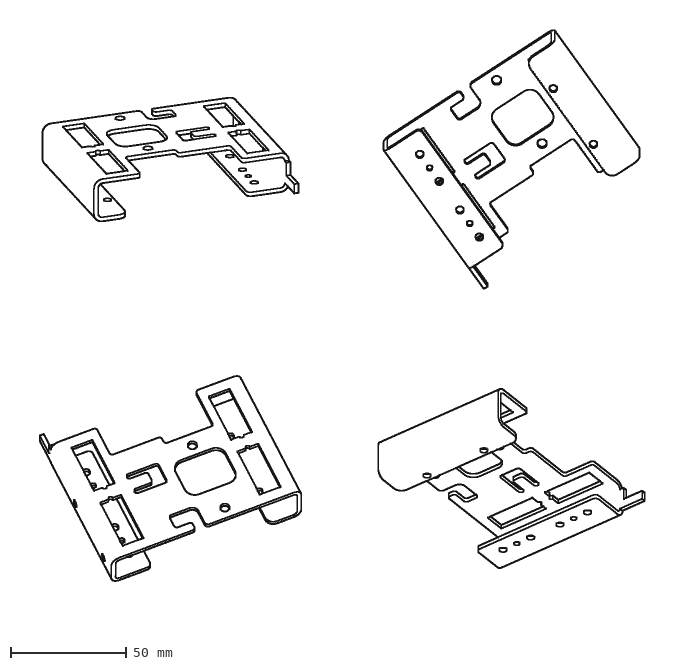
import cadquery as cq


sheet = 2.0
bend_radius = 2 * sheet
body_length = 65.0
body_width = 90.0
height = 20.0
rear_foot_z = 1.6
front_foot_width = 15.6
rear_foot_width = 19.1
front_foot_corner = 4.0
rear_foot_corner = 2.0
corner = 1.3

window_size = (24.2, 9.9)
window_inset = 17.1
window_centers_x = (window_inset, body_length - window_inset)
front_window_y = 12.5
rear_window_y = body_width - front_window_y
window_notch_radius = 1.0
foot_hole_diameter = 3.3
small_hole_diameter = 2.5
rear_hole_spacing = 7.5

plate_hole_diameter = 4.05
plate_hole_centers = [(5.0, 34.0), (40.0, 34.0)]
center_opening_x = (15.8, 35.0)
center_opening_y = (22.4, 46.2)
center_opening_corner = 4.8

tongue_slot_x = (27.1, 37.7)
tongue_slot_y = (51.4, 66.6)
tongue_width = 5.7
tongue_tip_y = 57.3

hook_x = (4.05, 11.0)
hook_top_y = 58.0
finger_tip_y = 50.1
hook_bottom_y = 45.2
hook_inner_corner = 3.0
hook_lower_corner = 1.7

cutout_front_y = 21.5
cutout_y = (cutout_front_y, body_width - cutout_front_y)
cutout_step_y = 44.6
cutout_upper_x = 49.5
cutout_lower_x = 45.5

wall_hole_diameter = foot_hole_diameter
wall_hole_z = height / 2
wall_hole_first_x = 8.6
wall_hole_spacing = 30.2

tab_neck_length = 2.0
tab_end_x = 77.0
tab_bottom_z = rear_foot_z + bend_radius
tab_top_z = 10.0


def box(x, y, z):
    """Box between the given (low, high) limits on each axis."""
    return (
        cq.Workplane("XY")
        .box(x[1] - x[0], y[1] - y[0], z[1] - z[0], centered=False)
        .translate((x[0], y[0], z[0]))
    )


margin = sheet
plate_z = (height - 2 * sheet, height + margin)
feet_z = (-margin, height / 2)


def plate_block(x, y):
    return box(x, y, plate_z)


def holes(centers, diameter, z):
    return (
        cq.Workplane("XY", origin=(0, 0, z[0]))
        .pushPoints(centers)
        .circle(diameter / 2)
        .extrude(z[1] - z[0])
    )


def folded_side(foot_z, foot_width, foot_corner):
    """Half of the body whose wall stands at Y = 0, up to the middle of the plate."""
    half = body_width / 2
    outer = box((0, body_length), (0, body_width), (foot_z, height)).edges("|X").fillet(bend_radius)
    inner = (
        box((0, body_length), (sheet, body_width - sheet), (foot_z + sheet, height - sheet))
        .edges("|X")
        .fillet(bend_radius - sheet)
    )
    below_plate = (foot_z - margin, height - 2 * sheet)
    gap = box((0, body_length), (foot_width, body_width), below_plate)
    side = outer.cut(inner).cut(gap)
    side = side.intersect(box((0, body_length), (0, half), (foot_z, height)))
    for x in (0, body_length):
        middle_of_edge = (x, foot_width, foot_z + sheet / 2)
        side = side.edges(cq.selectors.NearestToPointSelector(middle_of_edge)).fillet(foot_corner)
    return side


def make_body():
    front = folded_side(0, front_foot_width, front_foot_corner)
    rear = folded_side(rear_foot_z, rear_foot_width, rear_foot_corner)
    rear = rear.mirror("XZ").translate((0, body_width, 0))
    return front.union(rear).clean()


def make_tab():
    wall_y = (body_width - sheet, body_width)
    neck_end = body_length + tab_neck_length
    neck = box((body_length - sheet, neck_end), wall_y, (tab_bottom_z, height - bend_radius))
    arm = box((body_length, tab_end_x), wall_y, (tab_bottom_z, tab_top_z))
    return neck.union(arm)


def window_cutter(center_x, center_y):
    """Rectangular window with a round notch on the side facing the plate's middle."""
    half_x = window_size[0] / 2
    half_y = window_size[1] / 2
    window = plate_block(
        (center_x - half_x, center_x + half_x), (center_y - half_y, center_y + half_y)
    )
    toward_middle = 1 if center_x < body_length / 2 else -1
    notch_center = (center_x + toward_middle * half_x, center_y)
    return window.union(holes([notch_center], 2 * window_notch_radius, plate_z))


def foot_hole_cutter(center_x):
    large = [
        (center_x, front_window_y),
        (center_x - rear_hole_spacing, rear_window_y),
        (center_x + rear_hole_spacing, rear_window_y),
    ]
    small = [(center_x, rear_window_y)]
    return holes(large, foot_hole_diameter, feet_z).union(holes(small, small_hole_diameter, feet_z))


def wall_hole_cutter(center_x):
    drill = cq.Workplane("XZ", origin=(center_x, body_width + margin, wall_hole_z))
    return drill.circle(wall_hole_diameter / 2).extrude(sheet + 2 * margin)


def tongue_slot_cutter():
    """U-shaped slot whose two legs end in full rounds at +Y."""
    left, right = tongue_slot_x
    slot_width = (right - left - tongue_width) / 2
    legs_end_y = tongue_slot_y[1] - slot_width / 2
    tongue = plate_block((left + slot_width, right - slot_width), (tongue_tip_y, legs_end_y))
    tongue = tongue.edges("|Z and <Y").fillet(corner)
    slot = plate_block(tongue_slot_x, (tongue_slot_y[0], legs_end_y))
    slot = slot.edges("|Z and <Y").fillet(corner).cut(tongue)
    leg_ends = [(left + slot_width / 2, legs_end_y), (right - slot_width / 2, legs_end_y)]
    return slot.union(holes(leg_ends, slot_width, plate_z))


def outline_cutter(points, radii):
    """Prism over the points, with each listed corner rounded to its radius."""
    prism = cq.Workplane("XY", origin=(0, 0, plate_z[0])).polyline(points).close()
    prism = prism.extrude(plate_z[1] - plate_z[0])
    for (x, y), radius in radii:
        middle_of_edge = (x, y, sum(plate_z) / 2)
        prism = prism.edges(cq.selectors.NearestToPointSelector(middle_of_edge)).fillet(radius)
    return prism


def hook_cutter():
    left, right = hook_x
    outside = -margin
    points = [
        (outside, hook_bottom_y - margin),
        (0, hook_bottom_y - margin),
        (0, hook_bottom_y),
        (right, hook_bottom_y),
        (right, hook_top_y),
        (left, hook_top_y),
        (left, finger_tip_y),
        (0, finger_tip_y),
        (0, finger_tip_y + margin),
        (outside, finger_tip_y + margin),
    ]
    radii = [
        ((0, hook_bottom_y), hook_lower_corner),
        ((right, hook_bottom_y), hook_inner_corner),
        ((right, hook_top_y), corner),
        ((left, hook_top_y), corner),
        ((left, finger_tip_y), corner),
        ((0, finger_tip_y), corner),
    ]
    return outline_cutter(points, radii)


def cutout_cutter():
    low, high = cutout_y
    outside = body_length + margin
    points = [
        (outside, low - margin),
        (body_length, low - margin),
        (body_length, low),
        (cutout_lower_x, low),
        (cutout_lower_x, cutout_step_y),
        (cutout_upper_x, cutout_step_y),
        (cutout_upper_x, high),
        (body_length, high),
        (body_length, high + margin),
        (outside, high + margin),
    ]
    radii = [
        ((body_length, low), corner),
        ((cutout_lower_x, low), corner),
        ((cutout_lower_x, cutout_step_y), corner),
        ((cutout_upper_x, cutout_step_y), corner),
        ((cutout_upper_x, high), corner),
        ((body_length, high), corner),
    ]
    return outline_cutter(points, radii)


result = make_body().union(make_tab())
for window_x in window_centers_x:
    result = result.cut(foot_hole_cutter(window_x))
    for window_y in (front_window_y, rear_window_y):
        result = result.cut(window_cutter(window_x, window_y))

for hole_x in (wall_hole_first_x, wall_hole_first_x + wall_hole_spacing):
    result = result.cut(wall_hole_cutter(hole_x))

center_opening = plate_block(center_opening_x, center_opening_y)
result = result.cut(center_opening.edges("|Z").fillet(center_opening_corner))
result = result.cut(holes(plate_hole_centers, plate_hole_diameter, plate_z))
result = result.cut(tongue_slot_cutter())
result = result.cut(hook_cutter())
result = result.cut(cutout_cutter())